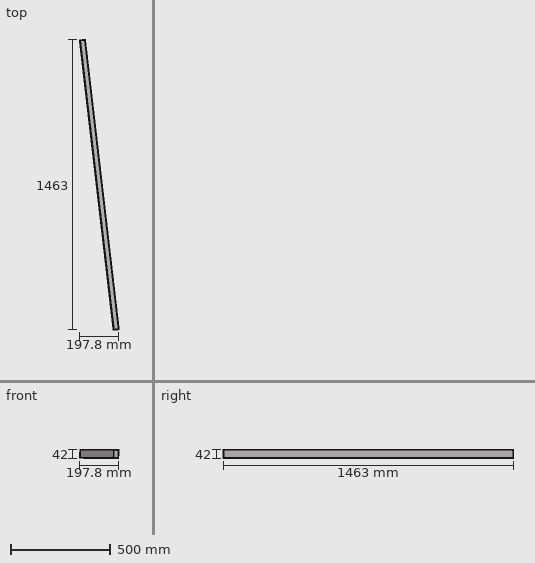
import cadquery as cq
import math

overall_y = 1463.0
overall_z = 42.0
bar_width = 25.0
yaw_angle = 6.65
roll_angle = 4.0

yaw = math.radians(yaw_angle)
roll = math.radians(roll_angle)

bar_height = (overall_z - bar_width * math.sin(roll)) / math.cos(roll)
rolled_width = bar_width * math.cos(roll) + bar_height * math.sin(roll)
bar_length = (overall_y - rolled_width * math.sin(yaw)) / math.cos(yaw)

result = (
    cq.Workplane("XY")
    .box(bar_width, bar_length, bar_height)
    .rotate((0, 0, 0), (0, 1, 0), roll_angle)
    .rotate((0, 0, 0), (0, 0, 1), yaw_angle)
)